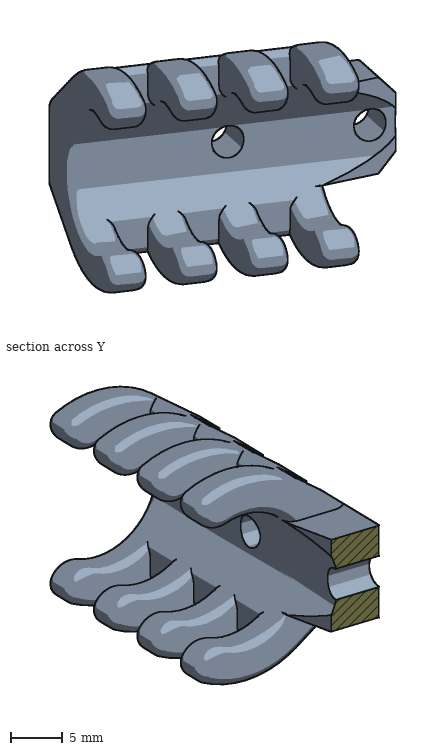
import cadquery as cq
import math

total_length = 34.2
bore_x = 12.0
bore_radius = 7.0
outer_diameter = 22.0
outer_radius = outer_diameter / 2
back_half_height = 5.0
edge_round = 1.0

finger_count = 4
finger_width = 4.0
finger_pitch = 7.4
body_length = (finger_count - 1) * finger_pitch + finger_width
spine_depth = 8.0

lip_radius = 2.67
tip_radius = 1.45
tip_x = 17.6

tab_end_thickness = 5.13
tab_root_thickness = 7.0
tab_corner = 2.0

hole_diameter = 3.32
body_hole_y = finger_width / 2 + 2 * finger_pitch
tab_hole_y = body_hole_y + 2 * finger_pitch

groove_width = 2.5
groove_depth = 2.05
groove_floor_crown = 0.4
groove_floor_half_height = 6.22
groove_end_depth = 3.5
groove_end_bulge = 0.1


def tangent_point():
    """Upper point where the straight flank from the back touches the outer circle."""
    centre_distance = math.hypot(bore_x, back_half_height)
    flank_angle = math.asin(outer_radius / centre_distance) - math.atan2(back_half_height, bore_x)
    return (
        bore_x - outer_radius * math.sin(flank_angle),
        outer_radius * math.cos(flank_angle),
    )


def flank_slope():
    """Rise in Z per unit of X along the straight flank."""
    flank_end = tangent_point()
    return (flank_end[1] - back_half_height) / flank_end[0]


def mirrored(point):
    """Mirror image of an XZ point below the bore axis."""
    return (point[0], -point[1])


def polar(centre, radius, angle):
    """Point at the given radius and angle from a centre."""
    return (centre[0] + radius * math.cos(angle), centre[1] + radius * math.sin(angle))


def extrude_along_y(outline, start, length):
    """Extrude a closed XZ outline from Y = start towards +Y."""
    return outline.extrude(-length).translate((0, start, 0))


def clip_outline():
    """C-shaped outline of the clip in the XZ plane, smooth from one flank to the other."""
    bore_centre = (bore_x, 0)
    flank_end = tangent_point()
    outer_top = (bore_x, outer_radius)

    tip_distance = outer_radius - tip_radius
    tip_angle = math.acos((tip_x - tip_radius - bore_x) / tip_distance)
    tip_centre = polar(bore_centre, tip_distance, tip_angle)
    tip_outer = polar(bore_centre, outer_radius, tip_angle)
    tip_middle = (tip_x, tip_centre[1])

    lip_distance = bore_radius + lip_radius
    lip_to_tip = lip_radius - tip_radius
    lip_offset = math.acos(
        (lip_distance**2 + tip_distance**2 - lip_to_tip**2) / (2 * lip_distance * tip_distance)
    )
    lip_angle = tip_angle + lip_offset
    lip_centre = polar(bore_centre, lip_distance, lip_angle)
    lip_start = polar(bore_centre, bore_radius, lip_angle)
    lip_middle = (lip_centre[0], lip_centre[1] - lip_radius)
    lip_end_angle = math.atan2(tip_centre[1] - lip_centre[1], tip_centre[0] - lip_centre[0])
    lip_end = polar(lip_centre, lip_radius, lip_end_angle)

    return (
        cq.Workplane("XZ")
        .moveTo(0, -back_half_height)
        .lineTo(0, back_half_height)
        .lineTo(*flank_end)
        .threePointArc(outer_top, tip_outer)
        .threePointArc(tip_middle, lip_end)
        .threePointArc(lip_middle, lip_start)
        .threePointArc((bore_x - bore_radius, 0), mirrored(lip_start))
        .threePointArc(mirrored(lip_middle), mirrored(lip_end))
        .threePointArc(mirrored(tip_middle), mirrored(tip_outer))
        .threePointArc(mirrored(outer_top), mirrored(flank_end))
        .close()
    )


def make_finger():
    """One full C-shaped plate, rounded on both sides except along its flat back."""
    plate = extrude_along_y(clip_outline(), 0, finger_width)
    side_edges = plate.faces("|Y").edges("not(|Z)")
    return side_edges.fillet(edge_round)


def make_spine():
    """Back part of the clip that joins the fingers, with rounded edges in the gaps."""
    spine_length = body_length - finger_width
    spine = extrude_along_y(clip_outline(), finger_width / 2, spine_length)
    keep = cq.Workplane("XY").box(
        spine_depth, body_length, outer_diameter, centered=(False, False, True)
    )
    spine = spine.intersect(keep)
    return spine.faces(">X").edges("|Y").fillet(edge_round)


def make_tab():
    """Tapered mounting tab with clipped corners, hollowed by the bore."""
    root_y = body_length - finger_width / 2
    taper = (tab_root_thickness - tab_end_thickness) / (total_length - body_length)
    root_thickness = tab_end_thickness + taper * (total_length - root_y)
    outline = [
        (0, root_y),
        (0, total_length),
        (tab_end_thickness, total_length),
        (root_thickness, root_y),
    ]
    tab = (
        cq.Workplane("XY")
        .polyline(outline)
        .close()
        .extrude(back_half_height, both=True)
    )
    tab = tab.faces(">Y").edges("|X").chamfer(tab_corner)
    bore = extrude_along_y(cq.Workplane("XZ").center(bore_x, 0).circle(bore_radius), 0, total_length)
    return tab.cut(bore)


def make_groove(centre_y):
    """Strap groove with a gently crowned floor that bends over towards the flanks."""
    floor_end = (groove_depth + groove_floor_crown, groove_floor_half_height)
    end = (groove_end_depth, back_half_height + groove_end_depth * flank_slope())

    run = end[0] - floor_end[0]
    rise = end[1] - floor_end[1]
    chord = math.hypot(run, rise)
    end_middle = (
        floor_end[0] + run / 2 - groove_end_bulge * rise / chord,
        floor_end[1] + rise / 2 + groove_end_bulge * run / chord,
    )
    outline = (
        cq.Workplane("XZ")
        .moveTo(0, -outer_radius)
        .lineTo(0, outer_radius)
        .lineTo(end[0], outer_radius)
        .lineTo(*end)
        .threePointArc(end_middle, floor_end)
        .threePointArc((groove_depth, 0), mirrored(floor_end))
        .threePointArc(mirrored(end_middle), mirrored(end))
        .lineTo(end[0], -outer_radius)
        .close()
    )
    return extrude_along_y(outline, centre_y - groove_width / 2, groove_width)


result = make_spine()
finger = make_finger()
for index in range(finger_count):
    result = result.union(finger.translate((0, index * finger_pitch, 0)))
result = result.union(make_tab())

for index in range(finger_count - 1):
    gap_centre_y = (finger_width + finger_pitch) / 2 + index * finger_pitch
    result = result.cut(make_groove(gap_centre_y))

for hole_y in (body_hole_y, tab_hole_y):
    hole = cq.Workplane("YZ").center(hole_y, 0).circle(hole_diameter / 2).extrude(bore_x)
    result = result.cut(hole)